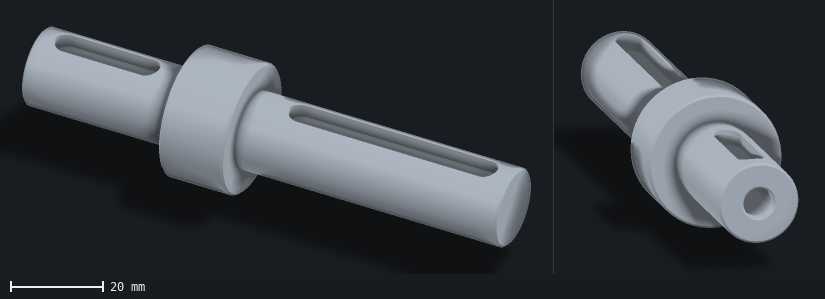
import cadquery as cq
import math

length = 114.5
shaft_diameter = 18.0
shaft_chamfer = 0.5

collar_diameter = 30.0
collar_start = 36.0
collar_width = 15.5
collar_chamfer = 0.5

key_width = 6.0
key_depth = 3.5
key_end_margin = 4.0
short_key_length = 25.0
long_key_length = 50.0

hole_diameter = 6.8
hole_depth = 16.0
hole_mouth_diameter = 7.5
drill_point_angle = 118.0

left_end = -length / 2
right_end = length / 2


def cylinder_along_x(start, width, diameter, chamfer):
    """Solid disc or rod on the X axis with both rims chamfered."""
    body = cq.Workplane("YZ", origin=(start, 0, 0)).circle(diameter / 2).extrude(width)
    return body.faces("<X or >X").chamfer(chamfer)


def keyway(center_x, slot_length):
    """Round-ended cutter reaching key_depth below the top of the shaft."""
    floor_z = shaft_diameter / 2 - key_depth
    return (
        cq.Workplane("XY", origin=(center_x, 0, floor_z))
        .slot2D(slot_length, key_width)
        .extrude(collar_diameter / 2)
    )


def center_hole():
    """Drilled hole with a countersunk mouth and a conical bottom."""
    radius = hole_diameter / 2
    mouth_radius = hole_mouth_diameter / 2
    mouth_depth = mouth_radius - radius
    half_angle = math.radians(drill_point_angle / 2)
    tip_depth = hole_depth + radius / math.tan(half_angle)
    return (
        cq.Workplane("XY")
        .moveTo(left_end, 0)
        .lineTo(left_end, mouth_radius)
        .lineTo(left_end + mouth_depth, radius)
        .lineTo(left_end + hole_depth, radius)
        .lineTo(left_end + tip_depth, 0)
        .close()
        .revolve(360, (0, 0, 0), (1, 0, 0))
    )


shaft = cylinder_along_x(left_end, length, shaft_diameter, shaft_chamfer)
collar = cylinder_along_x(left_end + collar_start, collar_width, collar_diameter, collar_chamfer)
short_keyway = keyway(left_end + key_end_margin + short_key_length / 2, short_key_length)
long_keyway = keyway(right_end - key_end_margin - long_key_length / 2, long_key_length)

result = shaft.union(collar).cut(short_keyway).cut(long_keyway).cut(center_hole())